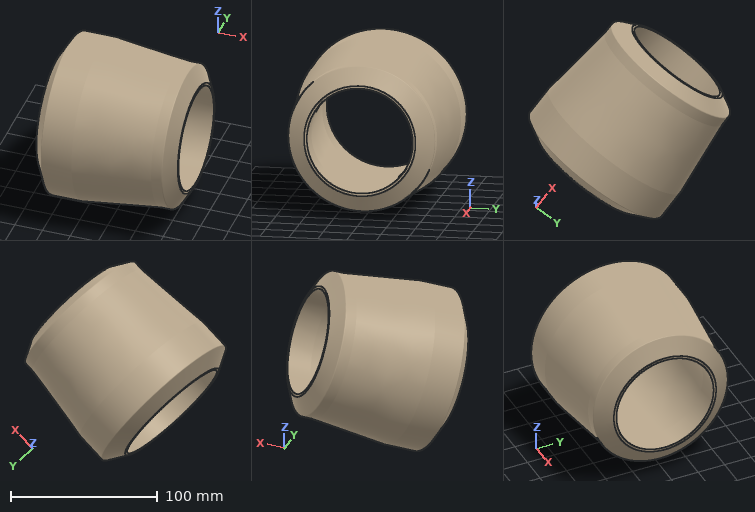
import cadquery as cq
import math

length = 100.0
large_radius = 57.2
small_radius = 101.6 / 2
large_bore_radius = 41.1
small_bore_radius = 36.6
land_width = 2.0
bevel_angle = 30.0
large_collar_end = 30.1
small_collar_start = 85.2
bore_collar = 16.8
bevel_round = 1.0

bevel_slope = math.tan(math.radians(bevel_angle))
large_land_radius = large_bore_radius + land_width
small_land_radius = small_bore_radius + land_width
large_bevel_length = (large_radius - large_land_radius) * bevel_slope
small_bevel_length = (small_radius - small_land_radius) * bevel_slope

half_section = (
    cq.Workplane("XY")
    .moveTo(0, large_bore_radius)
    .lineTo(0, large_land_radius)
    .lineTo(large_bevel_length, large_radius)
    .lineTo(large_collar_end, large_radius)
    .lineTo(small_collar_start, small_radius)
    .lineTo(length - small_bevel_length, small_radius)
    .lineTo(length, small_land_radius)
    .lineTo(length, small_bore_radius)
    .lineTo(length - bore_collar, small_bore_radius)
    .lineTo(bore_collar, large_bore_radius)
    .close()
)

reducer = half_section.revolve(360, (0, 0, 0), (1, 0, 0))


def round_bevel_edge(body, position, radius):
    """Round the outer circular edge at the given axial position."""
    edge_probe = cq.selectors.BoxSelector(
        (position - bevel_round, -2 * radius, -2 * radius),
        (position + bevel_round, 2 * radius, 2 * radius),
        boundingbox=True,
    )
    return body.edges(edge_probe).fillet(bevel_round)


reducer = round_bevel_edge(reducer, large_bevel_length, large_radius)
reducer = round_bevel_edge(reducer, length - small_bevel_length, small_radius)
result = reducer